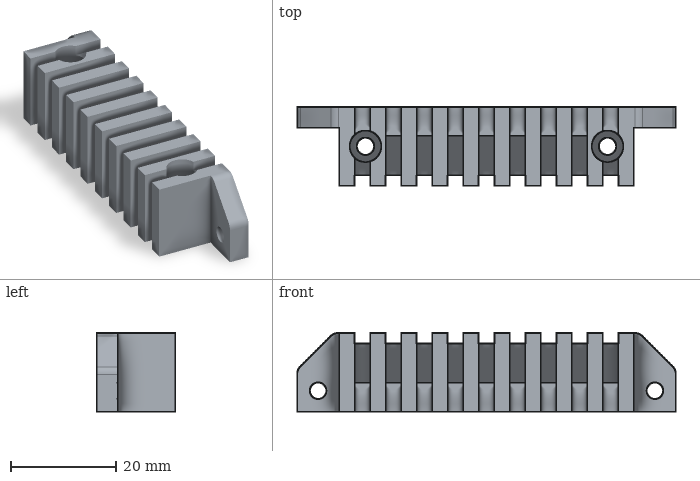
import cadquery as cq

overall_length = 72.0
depth = 15.0
height = 15.0
lug_length = 8.0
body_length = overall_length - 2 * lug_length
fin_count = 10
fin_thickness = body_length / (2 * fin_count - 1)
fin_pitch = 2 * fin_thickness

core_setback = 2.0
core_thickness = 5.5

bolt_end_distance = 5.0
bolt_x = body_length / 2 - bolt_end_distance
bolt_diameter = 3.25
counterbore_diameter = 6.0
counterbore_depth = 10.0

lug_thickness = 4.0
lug_chamfer = 7.0
lug_corner_radius = 2.0
lug_hole_diameter = 3.1
lug_hole_end_distance = 4.0
lug_hole_height = 4.0


def make_fins():
    fins = cq.Workplane("XY")
    for index in range(fin_count):
        left = -body_length / 2 + index * fin_pitch
        fin = cq.Workplane("XY").box(fin_thickness, depth, height, centered=False)
        fins = fins.union(fin.translate((left, 0, 0)))
    return fins


def make_core():
    return (
        cq.Workplane("YZ")
        .moveTo(depth, 0)
        .lineTo(depth, height - core_setback)
        .lineTo(depth - core_thickness, height - core_setback)
        .lineTo(depth - core_thickness, core_thickness)
        .lineTo(core_setback, core_thickness)
        .lineTo(core_setback, 0)
        .close()
        .extrude(body_length / 2, both=True)
    )


def make_left_lug():
    outer = -overall_length / 2
    inner = outer + lug_length + fin_thickness
    plate = (
        cq.Workplane("XZ", origin=(0, depth, 0))
        .moveTo(outer, 0)
        .lineTo(outer, height - lug_chamfer)
        .lineTo(outer + lug_chamfer, height)
        .lineTo(inner, height)
        .lineTo(inner, 0)
        .close()
        .extrude(lug_thickness)
    )
    lower_corner = cq.selectors.NearestToPointSelector(
        (outer, depth - lug_thickness / 2, height - lug_chamfer)
    )
    upper_corner = cq.selectors.NearestToPointSelector(
        (outer + lug_chamfer, depth - lug_thickness / 2, height)
    )
    plate = plate.edges("|Y").edges(lower_corner + upper_corner).fillet(lug_corner_radius)
    hole = (
        cq.Workplane("XZ", origin=(0, depth, 0))
        .center(outer + lug_hole_end_distance, lug_hole_height)
        .circle(lug_hole_diameter / 2)
        .extrude(lug_thickness)
    )
    return plate.cut(hole)


def cut_bolt_holes(body):
    return (
        body.copyWorkplane(cq.Workplane("XY", origin=(0, depth / 2, height)))
        .pushPoints([(-bolt_x, 0), (bolt_x, 0)])
        .cboreHole(bolt_diameter, counterbore_diameter, counterbore_depth)
    )


left_lug = make_left_lug()
right_lug = left_lug.mirror("YZ")
body = cut_bolt_holes(make_fins().union(make_core()))
result = body.union(left_lug).union(right_lug)